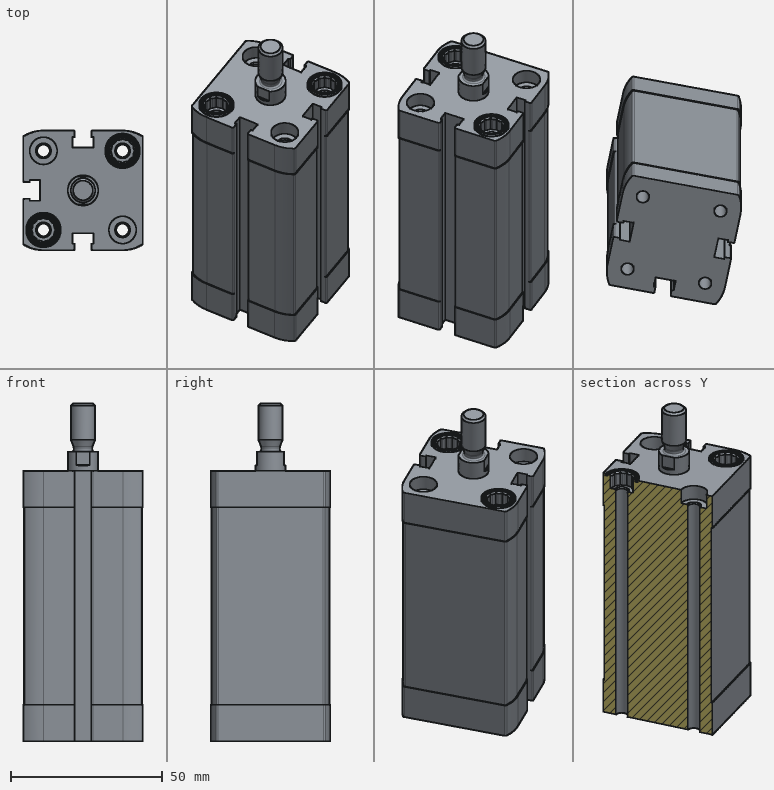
import cadquery as cq
import math


width = 39.5
total_height = 111.3
housing_height = 89.0
cap_height = 12.0
barrel_inset = 0.28
corner_diameter = 25.0
corner_fillet = 0.8

slot_mouth = 5.5
slot_mouth_fillet = 0.5
slot_undercut = 6.8
slot_lip = 2.2
slot_depth = 5.6
slot_overrun = 1.1
slot_angles = (0, 90, -90)

hole_spacing = 26.0
thread_core = 4.1
thread_chamfer = 5.0
counterbore_diameter = 9.0
counterbore_depth = 5.0

groove_outer = 11.5
groove_inner = 10.5
groove_depth = 0.7
groove_chamfer = 0.5
socket_chamfer = 8.7
socket_root = 8.0
socket_tip = 7.5
tooth_count = 12
tooth_tip_share = 0.5
first_tooth_angle = 45

collar_diameter = 10.0
thread_diameter = 8.0
neck_diameter = 6.2
tip_chamfer = 0.8
thread_length = 12.0
runout_length = 14.4
collar_length = 15.9
runout_fillet = 1.0
neck_fillet = 0.6
flat_width = 9.0
flat_height = 4.3
ledge_drop = 0.3

half_width = width / 2
hole_offset = hole_spacing / 2
counterbore_floor = housing_height - counterbore_depth
thread_end = total_height - thread_length
runout_end = total_height - runout_length
collar_top = total_height - collar_length


def cylinder(z, diameter, height):
    return cq.Workplane("XY").workplane(offset=z).circle(diameter / 2).extrude(height)


def cone(z, bottom_diameter, top_diameter, height):
    solid = cq.Solid.makeCone(bottom_diameter / 2, top_diameter / 2, height, cq.Vector(0, 0, z))
    return cq.Workplane("XY").add(solid)


def polar(diameter, angle):
    return (diameter / 2 * math.cos(angle), diameter / 2 * math.sin(angle))


def outline(inset):
    """Full-height square block; its corner arcs are tangent to the -Y and +Y sides."""
    half = half_width - inset
    radius = corner_diameter / 2 - inset
    arc_centre_y = half - radius
    corner_y = arc_centre_y + math.sqrt(radius**2 - (half - hole_offset) ** 2)
    return (
        cq.Workplane("XY")
        .moveTo(-half, -corner_y)
        .lineTo(-half, corner_y)
        .radiusArc((-hole_offset, half), radius)
        .lineTo(hole_offset, half)
        .radiusArc((half, corner_y), radius)
        .lineTo(half, -corner_y)
        .radiusArc((hole_offset, -half), radius)
        .lineTo(-hole_offset, -half)
        .radiusArc((-half, -corner_y), radius)
        .close()
        .extrude(housing_height)
        .edges("|Z and (<X or >X)")
        .fillet(corner_fillet)
    )


def slot(inset):
    """T-slot open to the -X side, with its mouth rounded into a side at the given inset."""
    half_mouth = slot_mouth / 2
    half_undercut = slot_undercut / 2
    half_flare = half_mouth + slot_mouth_fillet
    fillet_end = inset + slot_mouth_fillet
    return (
        cq.Workplane("XY", origin=(-half_width, 0, 0))
        .moveTo(-slot_overrun, -half_flare)
        .lineTo(inset, -half_flare)
        .radiusArc((fillet_end, -half_mouth), slot_mouth_fillet)
        .lineTo(slot_lip, -half_mouth)
        .lineTo(slot_lip, -half_undercut)
        .lineTo(slot_depth, -half_undercut)
        .lineTo(slot_depth, half_undercut)
        .lineTo(slot_lip, half_undercut)
        .lineTo(slot_lip, half_mouth)
        .lineTo(fillet_end, half_mouth)
        .radiusArc((inset, half_flare), slot_mouth_fillet)
        .lineTo(-slot_overrun, half_flare)
        .close()
        .extrude(housing_height)
    )


def slotted_block(inset):
    block = outline(inset)
    for angle in slot_angles:
        block = block.cut(slot(inset).rotate((0, 0, 0), (0, 0, 1), angle))
    return block


def threaded_hole():
    """Through hole up to the counterbore floor, chamfered at its upper end."""
    chamfer = (thread_chamfer - thread_core) / 2
    bore = cylinder(0, thread_core, counterbore_floor)
    return bore.union(cone(counterbore_floor - chamfer, thread_core, thread_chamfer, chamfer))


def counterbored_hole():
    return threaded_hole().union(cylinder(counterbore_floor, counterbore_diameter, counterbore_depth))


def splined_socket():
    """V-grooves between flat-tipped teeth, chamfered at the top face."""
    pitch = math.radians(360 / tooth_count)
    half_tip = tooth_tip_share * pitch / 2
    points = []
    for tooth in range(tooth_count):
        middle = math.radians(first_tooth_angle) + tooth * pitch
        points.append(polar(socket_tip, middle - half_tip))
        points.append(polar(socket_tip, middle + half_tip))
        points.append(polar(socket_root, middle + pitch / 2))
    spline = (
        cq.Workplane("XY").workplane(offset=counterbore_floor)
        .polyline(points).close().extrude(counterbore_depth)
    )
    chamfer = (socket_chamfer - socket_tip) / 2
    return spline.union(cone(housing_height - chamfer, socket_tip, socket_chamfer, chamfer))


def ring_groove():
    """Groove around a socket; the rim left inside it is chamfered on its outer edge."""
    bottom = housing_height - groove_depth
    chamfer_start = housing_height - groove_chamfer
    rim_top_diameter = groove_inner - 2 * groove_chamfer
    rim = cylinder(bottom, groove_inner, groove_depth - groove_chamfer).union(
        cone(chamfer_start, groove_inner, rim_top_diameter, groove_chamfer)
    )
    return cylinder(bottom, groove_outer, groove_depth).cut(rim)


def socket_hole():
    return threaded_hole().union(splined_socket()).union(ring_groove())


def make_housing():
    barrel_zone = (
        cq.Workplane("XY").workplane(offset=cap_height)
        .rect(width, width).extrude(housing_height - 2 * cap_height)
    )
    end_caps = slotted_block(0).cut(barrel_zone)
    barrel = slotted_block(barrel_inset).intersect(barrel_zone)
    body = end_caps.union(barrel)
    for side_x in (-1, 1):
        for side_y in (-1, 1):
            hole = socket_hole() if side_x == side_y else counterbored_hole()
            body = body.cut(hole.translate((side_x * hole_offset, side_y * hole_offset, 0)))
    return body


def wrench_flat(side):
    """Cutter for one flat on the collar, on the -Y (-1) or +Y (1) side, with a sloped ledge below."""
    flat_y = side * flat_width / 2
    collar_y = side * collar_diameter / 2
    flat_bottom = collar_top - flat_height
    return (
        cq.Workplane("YZ", origin=(-collar_diameter / 2, 0, 0))
        .moveTo(flat_y, collar_top)
        .lineTo(flat_y, flat_bottom)
        .lineTo(collar_y, flat_bottom - ledge_drop)
        .lineTo(collar_y, collar_top)
        .close()
        .extrude(collar_diameter)
    )


def make_rod():
    collar_radius = collar_diameter / 2
    neck_radius = neck_diameter / 2
    thread_radius = thread_diameter / 2
    rod = (
        cq.Workplane("XZ")
        .moveTo(0, housing_height)
        .lineTo(collar_radius, housing_height)
        .lineTo(collar_radius, collar_top)
        .lineTo(neck_radius + neck_fillet, collar_top)
        .radiusArc((neck_radius, collar_top + neck_fillet), neck_fillet)
        .lineTo(neck_radius, runout_end)
        .lineTo(thread_radius, thread_end)
        .lineTo(thread_radius, total_height - tip_chamfer)
        .lineTo(thread_radius - tip_chamfer, total_height)
        .lineTo(0, total_height)
        .close()
        .revolve(360, (0, 0, 0), (0, 1, 0))
        .edges(cq.selectors.NearestToPointSelector((0, 0, runout_end)))
        .fillet(runout_fillet)
    )
    for side in (-1, 1):
        rod = rod.cut(wrench_flat(side))
    return rod


housing = make_housing()
rod = make_rod()
result = cq.Compound.makeCompound([housing.val(), rod.val()])